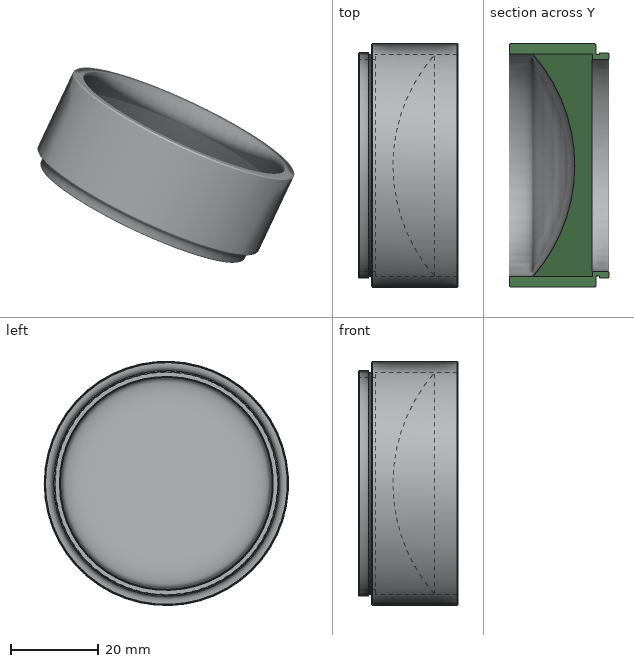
import cadquery as cq
import math


overall_length = 22.85
housing_radius = 27.95
nose_radius = 25.8
nose_length = 2.3
relief_radius = 25.4
shoulder_x = 3.0
edge_chamfer = 0.3

aperture_radius = 24.25
aperture_depth = 3.9
mouth_chamfer = 0.2

lens_radius = relief_radius
lens_center_thickness = 4.0
concave_radius = 38.6
concave_sag = concave_radius - math.sqrt(concave_radius**2 - lens_radius**2)

lens_front_x = aperture_depth
lens_center_x = lens_front_x + lens_center_thickness
lens_rim_x = lens_center_x + concave_sag


def cylinder(start_x, end_x, radius):
    """Solid cylinder along the X axis."""
    return cq.Workplane("YZ").workplane(offset=start_x).circle(radius).extrude(end_x - start_x)


def make_housing():
    """Stepped tube: nose, relief groove and main barrel, bored for the aperture and the lens."""
    nose = cylinder(0, nose_length, nose_radius).faces("<X").chamfer(edge_chamfer)
    relief = cylinder(nose_length, shoulder_x, relief_radius)
    barrel = cylinder(shoulder_x, overall_length, housing_radius).edges().chamfer(edge_chamfer)
    aperture = cylinder(0, aperture_depth, aperture_radius)
    lens_bore = cylinder(aperture_depth, overall_length, lens_radius)

    tube = nose.union(relief).union(barrel).cut(aperture).cut(lens_bore)
    aperture_mouth = cq.selectors.RadiusNthSelector(0)
    return tube.faces("<X").edges(aperture_mouth).chamfer(mouth_chamfer)


def make_lens():
    """Plano-concave lens, revolved from its half section (axial position, radius)."""
    arc_mid_angle = math.asin(lens_radius / concave_radius) / 2
    arc_mid_x = lens_center_x + concave_radius * (1 - math.cos(arc_mid_angle))
    arc_mid_radius = concave_radius * math.sin(arc_mid_angle)
    half_section = (
        cq.Workplane("XY")
        .moveTo(lens_front_x, 0)
        .lineTo(lens_front_x, lens_radius)
        .lineTo(lens_rim_x, lens_radius)
        .threePointArc((arc_mid_x, arc_mid_radius), (lens_center_x, 0))
        .close()
    )
    return half_section.revolve(360, (0, 0, 0), (1, 0, 0))


housing = make_housing()
lens = make_lens()
result = cq.Compound.makeCompound([housing.val(), lens.val()])